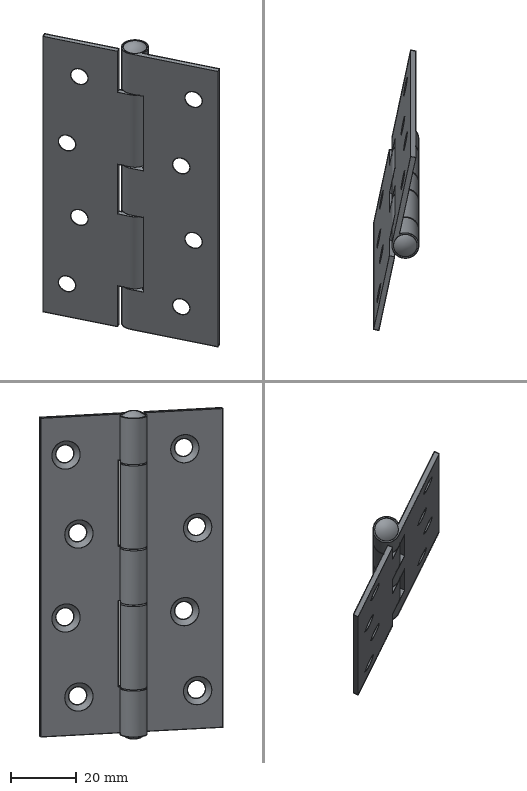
import cadquery as cq

total_height = 103.0
hinge_width = 57.0
barrel_diameter = 8.2
leaf_thickness = 1.6
barrel_clearance = 0.1

pin_diameter = 4.8
head_height = 1.4
head_radius = 3.6

middle_knuckle_length = 17.0
inner_knuckle_length = 26.2
middle_gap = 0.5
outer_gap = 0.4

hole_diameter = 5.6
countersink_half_angle = 45
near_hole_x = 16.6
far_hole_x = 20.6
outer_hole_z = 38.1
inner_hole_z = 13.1

leaf_height = total_height - 2 * head_height
half_height = leaf_height / 2
half_width = hinge_width / 2
barrel_radius = barrel_diameter / 2
notch_x = barrel_radius + barrel_clearance
leaf_front_y = -barrel_radius
middle_top = middle_knuckle_length / 2
inner_bottom = middle_top + middle_gap
inner_top = inner_bottom + inner_knuckle_length
outer_bottom = inner_top + outer_gap

pin_leaf_knuckles = [
    (-half_height, -outer_bottom),
    (-middle_top, middle_top),
    (outer_bottom, half_height),
]
loose_leaf_knuckles = [(-inner_top, -inner_bottom), (inner_bottom, inner_top)]


def cylinder(radius, bottom, top):
    """Cylinder on the hinge axis between two heights."""
    return cq.Workplane("XY").workplane(offset=bottom).circle(radius).extrude(top - bottom)


def plate(inner_x, outer_x, bottom, top):
    """Flat piece of leaf between two distances from the axis, on the +X side."""
    size = (outer_x - inner_x, leaf_thickness, top - bottom)
    return cq.Workplane("XY").box(*size, centered=False).translate((inner_x, leaf_front_y, bottom))


def screw_holes(outer_hole_x, inner_hole_x):
    """Conical through-hole cutters for one leaf on the +X side."""
    centers = [
        (outer_hole_x, outer_hole_z),
        (inner_hole_x, inner_hole_z),
        (outer_hole_x, -inner_hole_z),
        (inner_hole_x, -outer_hole_z),
    ]
    cutters = cq.Workplane("XZ", origin=(0, leaf_front_y, 0)).pushPoints(centers)
    return cutters.circle(hole_diameter / 2).extrude(-leaf_thickness, taper=-countersink_half_angle)


def leaf(knuckles, outer_hole_x, inner_hole_x):
    """Leaf on the +X side: a plate whose tabs run tangent into solid knuckles."""
    body = plate(notch_x, half_width, -half_height, half_height)
    for bottom, top in knuckles:
        body = body.union(plate(0, notch_x, bottom, top))
        body = body.union(cylinder(barrel_radius, bottom, top))
    return body.cut(screw_holes(outer_hole_x, inner_hole_x))


def domed_pin():
    """Pin with a spherical-cap head beyond each end of the barrel."""
    tip_z = half_height + head_height
    sphere_radius = (head_radius**2 + head_height**2) / (2 * head_height)
    center_z = tip_z - sphere_radius
    mid_r = head_radius / 2
    mid_z = center_z + (sphere_radius**2 - mid_r**2) ** 0.5
    profile = (
        cq.Workplane("XZ")
        .moveTo(0, half_height)
        .lineTo(head_radius, half_height)
        .threePointArc((mid_r, mid_z), (0, tip_z))
        .close()
    )
    head = profile.revolve(360, (0, 0, 0), (0, 1, 0))
    pin = cylinder(pin_diameter / 2, -half_height, half_height)
    return pin.union(head).union(head.mirror("XY"))


pin_leaf = leaf(pin_leaf_knuckles, far_hole_x, near_hole_x).union(domed_pin())

loose_leaf = leaf(loose_leaf_knuckles, near_hole_x, far_hole_x).mirror("YZ")
loose_leaf = loose_leaf.cut(cylinder(pin_diameter / 2, -half_height, half_height))

result = cq.Compound.makeCompound([pin_leaf.val(), loose_leaf.val()])